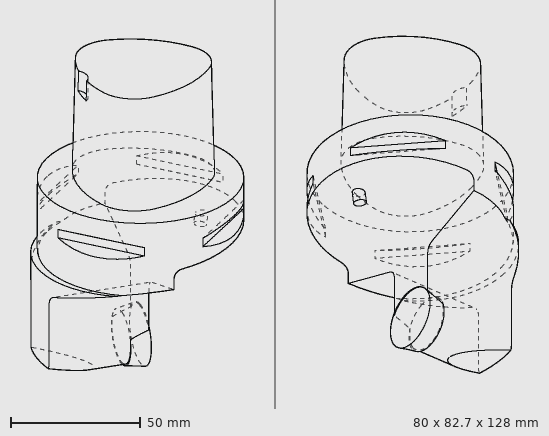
import cadquery as cq
import math

TOTAL_HEIGHT = 128

FLANGE_RADIUS = 80.0 / 2
FLANGE_HEIGHT = 31.6
RIM_CHAMFER_HEIGHT = 1.0
RIM_CHAMFER_WIDTH = 0.3

SHANK_HEIGHT = 47.7
SHANK_SLOPE = 1 / 40
LOBE_REACH = 29.4
FLANK_REACH = 25.2
LOBE_RADIUS = 16.8
LOBE_COUNT = 3

KEYWAY_RADIUS = 6.4
KEYWAY_CENTER_Y = -28.3
KEYWAY_DEPTH = 8.5

GROOVE_FLOOR_DISTANCE = 35.5
GROOVE_CENTER_Z = -12.3
GROOVE_FLOOR_WIDTH = 3.6
GROOVE_MOUTH_WIDTH = 8.5
GROOVE_COUNT = 4

NECK_RADIUS = 39.0
NECK_REAR_Y = -42.7
BLADE_HALF_WIDTH = 10.6
SHOULDER_OUTER_Z = -29.7
SHOULDER_ANGLE = 19
SHOULDER_FILLET_RADIUS = 4.4
HEEL_START_Y = -19.2
HEEL_END_Z = -70.6

INSERT_RADIUS = 12.7
INSERT_BACK_RADIUS = 11.3
INSERT_THICKNESS = 7.9
INSERT_Z = SHANK_HEIGHT - TOTAL_HEIGHT + INSERT_RADIUS

BLADE_FACE_Y = -0.4
CUT_EDGE_Z = -18.2
CUT_ANGLE = 5
CUT_FILLET_RADIUS = 3.6

NOZZLE_DIAMETER = 5.0
NOZZLE_TIP_Y = 24.5
NOZZLE_TIP_Z = -24.0
NOZZLE_TILT = 8
NOZZLE_LENGTH = 7.7


def polar(radius, degrees):
    """Return the point at the given radius and angle about the origin."""
    angle = math.radians(degrees)
    return (radius * math.cos(angle), radius * math.sin(angle))


def make_shank():
    """Three lobe arcs joined by three tangent flank arcs, tapering upwards."""
    pitch = 360 / LOBE_COUNT
    lobe_offset = LOBE_REACH - LOBE_RADIUS
    reach_gap = FLANK_REACH - LOBE_RADIUS
    flank_offset = (lobe_offset**2 - reach_gap**2) / (2 * reach_gap - lobe_offset)
    flank_radius = FLANK_REACH + flank_offset
    extension = LOBE_RADIUS / (flank_radius - LOBE_RADIUS)
    joint_x = lobe_offset + extension * (lobe_offset + flank_offset * math.cos(math.radians(pitch / 2)))
    joint_y = extension * flank_offset * math.sin(math.radians(pitch / 2))
    joint_radius = math.hypot(joint_x, joint_y)
    joint_angle = math.degrees(math.atan2(joint_y, joint_x))

    outline = cq.Workplane("XY").moveTo(*polar(joint_radius, 90 - joint_angle))
    for index in range(LOBE_COUNT):
        crest = 90 + index * pitch
        outline = outline.threePointArc(
            polar(LOBE_REACH, crest), polar(joint_radius, crest + joint_angle)
        )
        outline = outline.threePointArc(
            polar(FLANK_REACH, crest + pitch / 2),
            polar(joint_radius, crest + pitch - joint_angle),
        )
    shank = outline.close().extrude(SHANK_HEIGHT, taper=math.degrees(math.atan(SHANK_SLOPE)))
    keyway = (
        cq.Workplane("XY", origin=(0, KEYWAY_CENTER_Y, SHANK_HEIGHT))
        .circle(KEYWAY_RADIUS)
        .extrude(-KEYWAY_DEPTH)
    )
    return shank.cut(keyway)


def make_flange():
    """Round flange with a slim conical lower rim."""
    return (
        cq.Workplane("XZ")
        .moveTo(0, 0)
        .lineTo(FLANGE_RADIUS, 0)
        .lineTo(FLANGE_RADIUS, RIM_CHAMFER_HEIGHT - FLANGE_HEIGHT)
        .lineTo(FLANGE_RADIUS - RIM_CHAMFER_WIDTH, -FLANGE_HEIGHT)
        .lineTo(0, -FLANGE_HEIGHT)
        .close()
        .revolve(360, (0, 0, 0), (0, 1, 0))
    )


def make_groove(angle):
    """Straight groove with a flat floor and flared sides, facing the given angle."""
    depth = FLANGE_RADIUS - GROOVE_FLOOR_DISTANCE
    flare = (GROOVE_MOUTH_WIDTH - GROOVE_FLOOR_WIDTH) / 2
    return (
        cq.Workplane("XZ", origin=(0, 0, GROOVE_CENTER_Z))
        .moveTo(GROOVE_FLOOR_DISTANCE, -GROOVE_FLOOR_WIDTH / 2)
        .line(depth, -flare)
        .line(0, GROOVE_MOUTH_WIDTH)
        .line(-depth, -flare)
        .close()
        .extrude(FLANGE_RADIUS, both=True)
        .rotate((0, 0, 0), (0, 0, 1), angle)
    )


def make_neck_outline():
    """Outline in XZ of sloping shoulders running into a round-ended blade."""
    shoulder_drop = (FLANGE_RADIUS - BLADE_HALF_WIDTH) * math.tan(math.radians(SHOULDER_ANGLE))
    blade_top_z = SHOULDER_OUTER_Z - shoulder_drop
    depth = 2 * FLANGE_RADIUS
    return (
        cq.Workplane("XZ")
        .moveTo(-FLANGE_RADIUS, 0)
        .lineTo(FLANGE_RADIUS, 0)
        .lineTo(FLANGE_RADIUS, SHOULDER_OUTER_Z)
        .lineTo(BLADE_HALF_WIDTH, blade_top_z)
        .lineTo(BLADE_HALF_WIDTH, INSERT_Z)
        .threePointArc((0, INSERT_Z - BLADE_HALF_WIDTH), (-BLADE_HALF_WIDTH, INSERT_Z))
        .lineTo(-BLADE_HALF_WIDTH, blade_top_z)
        .lineTo(-FLANGE_RADIUS, SHOULDER_OUTER_Z)
        .close()
        .extrude(depth, both=True)
        .edges(cq.selectors.BoxSelector(
            (-FLANGE_RADIUS, -depth, blade_top_z - SHOULDER_FILLET_RADIUS),
            (FLANGE_RADIUS, depth, blade_top_z + SHOULDER_FILLET_RADIUS),
        ))
        .fillet(SHOULDER_FILLET_RADIUS)
    )


def make_heel_cut():
    """Wedge that bevels the lower rear end of the blade."""
    blade_end_z = INSERT_Z - BLADE_HALF_WIDTH
    return (
        cq.Workplane("YZ")
        .moveTo(HEEL_START_Y, blade_end_z)
        .lineTo(NECK_REAR_Y, HEEL_END_Z)
        .lineTo(NECK_REAR_Y, blade_end_z)
        .close()
        .extrude(BLADE_HALF_WIDTH, both=True)
    )


def make_neck_cylinder():
    """Offset cylinder that bounds the rear of the neck."""
    bottom_z = INSERT_Z - BLADE_HALF_WIDTH
    return (
        cq.Workplane("XY", origin=(0, NECK_REAR_Y + NECK_RADIUS, bottom_z))
        .circle(NECK_RADIUS)
        .extrude(-FLANGE_HEIGHT - bottom_z)
    )


def make_clearance_cut():
    """Space ahead of the blade, with a sloping roof and a filleted inner corner."""
    run = FLANGE_RADIUS - BLADE_FACE_Y
    corner_z = CUT_EDGE_Z - run * math.tan(math.radians(CUT_ANGLE))
    bottom_z = INSERT_Z - INSERT_RADIUS
    return (
        cq.Workplane("YZ")
        .moveTo(FLANGE_RADIUS, CUT_EDGE_Z)
        .lineTo(BLADE_FACE_Y, corner_z)
        .lineTo(BLADE_FACE_Y, bottom_z)
        .lineTo(FLANGE_RADIUS, bottom_z)
        .close()
        .extrude(FLANGE_RADIUS, both=True)
        .faces("<Y")
        .edges("|X and >Z")
        .fillet(CUT_FILLET_RADIUS)
    )


def make_nozzle():
    """Short tilted round nozzle whose upper end is buried in the flange."""
    return (
        cq.Workplane("XY")
        .circle(NOZZLE_DIAMETER / 2)
        .extrude(NOZZLE_LENGTH)
        .rotate((0, 0, 0), (1, 0, 0), -NOZZLE_TILT)
        .translate((0, NOZZLE_TIP_Y, NOZZLE_TIP_Z))
    )


def make_insert():
    """Round insert narrowing from its front face to its seat."""
    return cq.Workplane(
        cq.Solid.makeCone(
            INSERT_RADIUS,
            INSERT_BACK_RADIUS,
            INSERT_THICKNESS,
            pnt=cq.Vector(0, 0, INSERT_Z),
            dir=cq.Vector(0, -1, 0),
        )
    )


def make_holder(insert):
    """Shank, flange, neck and nozzle as one solid with a seat for the insert."""
    body = make_flange().union(make_neck_cylinder())
    body = body.intersect(make_neck_outline())
    body = body.cut(make_heel_cut()).cut(make_clearance_cut())
    for index in range(GROOVE_COUNT):
        body = body.cut(make_groove((index + 0.5) * 360 / GROOVE_COUNT))
    return body.union(make_shank()).union(make_nozzle()).cut(insert)


insert = make_insert()
holder = make_holder(insert)
result = cq.Compound.makeCompound([holder.val(), insert.val()])